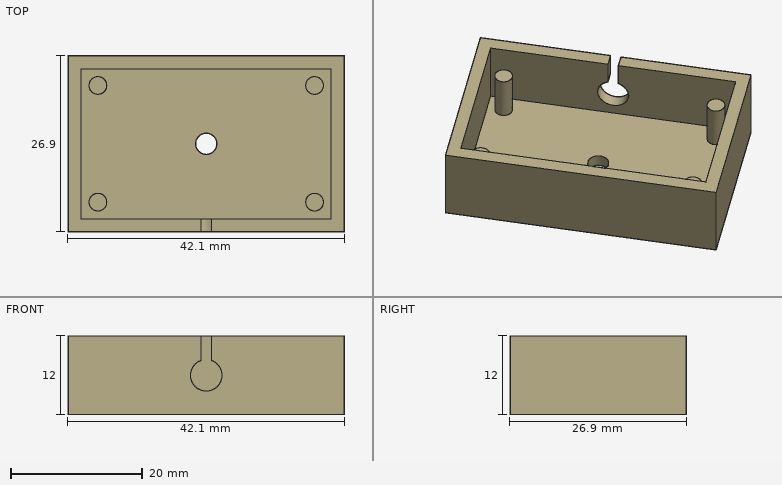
import cadquery as cq

board_length = 38.1
board_width = 22.86
wall = 2.0
box_length = board_length + 2 * wall
box_width = board_width + 2 * wall
box_height = 12.0
floor_thickness = 2.0

pin_diameter = 2.7
pin_inset = 2.54
pin_height = 7.0

mount_hole_diameter = 3.2

cable_hole_diameter = 4.8
cable_hole_height = box_height / 2
cable_slot_width = 1.6


def make_box():
    """Open-topped box standing on Z = 0, centred on the Z axis."""
    box = cq.Workplane("XY").box(box_length, box_width, box_height, centered=(True, True, False))
    pocket = (
        cq.Workplane("XY")
        .workplane(offset=floor_thickness)
        .rect(board_length, board_width)
        .extrude(box_height - floor_thickness)
    )
    return box.cut(pocket)


def make_pins():
    """Four pins rising from the floor, one near each pocket corner."""
    return (
        cq.Workplane("XY")
        .workplane(offset=floor_thickness)
        .rect(board_length - 2 * pin_inset, board_width - 2 * pin_inset, forConstruction=True)
        .vertices()
        .circle(pin_diameter / 2)
        .extrude(pin_height)
    )


def make_mount_hole():
    """Cutter for the hole in the middle of the floor."""
    return cq.Workplane("XY").circle(mount_hole_diameter / 2).extrude(floor_thickness)


def make_cable_opening():
    """Keyhole-shaped cutter through the -Y wall only."""
    wall_plane = cq.Workplane("XZ", origin=(0, -board_width / 2, cable_hole_height))
    hole = wall_plane.circle(cable_hole_diameter / 2).extrude(wall)
    slot_height = box_height - cable_hole_height
    slot = (
        wall_plane.center(0, slot_height / 2)
        .rect(cable_slot_width, slot_height)
        .extrude(wall)
    )
    return hole.union(slot)


result = make_box().union(make_pins()).cut(make_mount_hole()).cut(make_cable_opening())